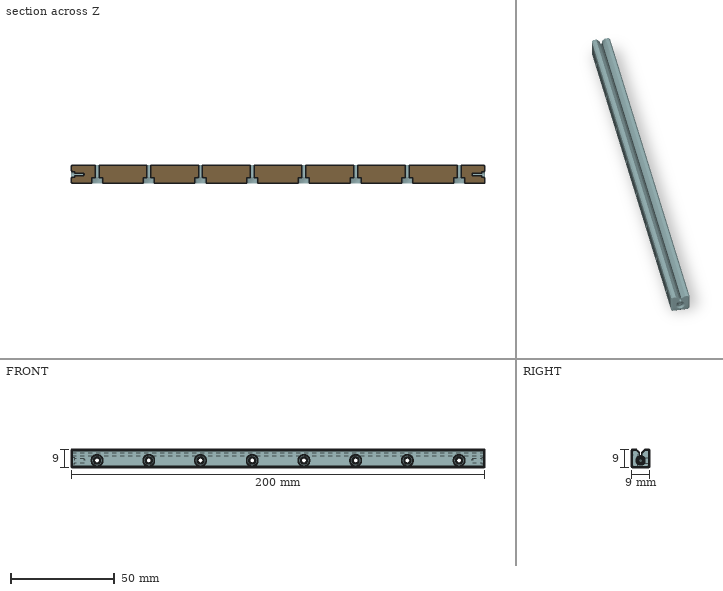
import cadquery as cq
import math

LENGTH = 200.0
SIDE = 9.0
LONG_EDGE_CHAMFER = 0.7
END_CHAMFER = 0.5

GROOVE_HALF_WIDTH = 2.35
RELIEF_WIDTH = 1.1
RELIEF_DEPTH = 3.3

HOLE_HEIGHT = 3.5

HOLE_PITCH = 25.0
HOLE_COUNT = 8
HOLE_DIAMETER = 2.65
HOLE_MOUTH_DIAMETER = 3.2
COUNTERBORE_DIAMETER = 5.5
COUNTERBORE_DEPTH = 2.8

END_HOLE_DIAMETER = 2.26
END_HOLE_DEPTH = 6.0
END_MOUTH_DIAMETER = 4.2
END_SHOULDER_DIAMETER = 3.2
END_SHOULDER_DEPTH = 1.5
DRILL_POINT_ANGLE = 118.0


def rail_blank():
    """Square bar with its long edges and both end rims chamfered; the bottom face is at Z = 0."""
    bar = cq.Workplane("XY").box(LENGTH, SIDE, SIDE, centered=(True, True, False))
    return bar.edges("|X").chamfer(LONG_EDGE_CHAMFER).faces("<X or >X").chamfer(END_CHAMFER)


def roller_groove():
    """90 degree V groove with a narrow relief slot at its root."""
    slot_half = RELIEF_WIDTH / 2
    slot_top = SIDE - (GROOVE_HALF_WIDTH - slot_half)
    slot_bottom = SIDE - RELIEF_DEPTH
    return (
        cq.Workplane("YZ", origin=(-LENGTH / 2, 0, 0))
        .moveTo(-GROOVE_HALF_WIDTH, SIDE)
        .lineTo(-slot_half, slot_top)
        .lineTo(-slot_half, slot_bottom)
        .lineTo(slot_half, slot_bottom)
        .lineTo(slot_half, slot_top)
        .lineTo(GROOVE_HALF_WIDTH, SIDE)
        .close()
        .extrude(LENGTH)
    )


def countersink(mouth, inward, outer_diameter, inner_diameter):
    """45 degree cone narrowing inward from a circle centred on the mouth."""
    depth = (outer_diameter - inner_diameter) / 2
    return cq.Solid.makeCone(outer_diameter / 2, inner_diameter / 2, depth, mouth, inward)


def mounting_hole(x):
    """Through hole along Y, counterbored at the front with a countersunk counterbore floor."""
    inward = cq.Vector(0, 1, 0)
    mouth = cq.Vector(x, -SIDE / 2, HOLE_HEIGHT)
    floor = mouth + inward * COUNTERBORE_DEPTH
    bore = cq.Solid.makeCylinder(HOLE_DIAMETER / 2, SIDE, mouth, inward)
    counterbore = cq.Solid.makeCylinder(COUNTERBORE_DIAMETER / 2, COUNTERBORE_DEPTH, mouth, inward)
    return bore.fuse(counterbore, countersink(floor, inward, HOLE_MOUTH_DIAMETER, HOLE_DIAMETER))


def end_hole(side):
    """Blind hole along X in the end face at X = side * LENGTH / 2."""
    inward = cq.Vector(-side, 0, 0)
    mouth = cq.Vector(side * LENGTH / 2, 0, HOLE_HEIGHT)
    bottom = mouth + inward * END_HOLE_DEPTH
    radius = END_HOLE_DIAMETER / 2
    point_length = radius / math.tan(math.radians(DRILL_POINT_ANGLE / 2))
    bore = cq.Solid.makeCylinder(radius, END_HOLE_DEPTH, mouth, inward)
    point = cq.Solid.makeCone(radius, 0, point_length, bottom, inward)
    shoulder = cq.Solid.makeCylinder(END_SHOULDER_DIAMETER / 2, END_SHOULDER_DEPTH, mouth, inward)
    sink = countersink(mouth, inward, END_MOUTH_DIAMETER, END_SHOULDER_DIAMETER)
    return bore.fuse(point, shoulder, sink)


result = rail_blank().cut(roller_groove())
for index in range(HOLE_COUNT):
    result = result.cut(mounting_hole((index - (HOLE_COUNT - 1) / 2) * HOLE_PITCH))
for side in (-1, 1):
    result = result.cut(end_hole(side))